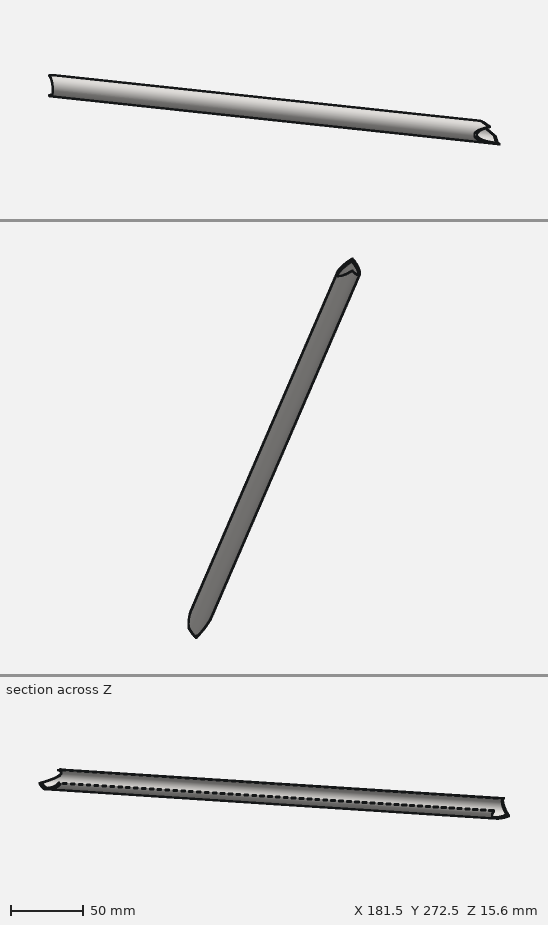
import cadquery as cq
import math

TUBE_DIAMETER = 15.0
WALL = 1.0
OUTER_RADIUS = TUBE_DIAMETER / 2
BORE_RADIUS = OUTER_RADIUS - WALL

HEADING_DEG = 56.66
RISE_DEG = 0.106
AXIS_TAIL = 30.0
AXIS_REACH = 360.0

END_Y = 272.49
BEVEL_DEPTH = 1.2
BEVEL_LAND = 0.1

SADDLE_RADIUS = 8.0
SADDLE_X = 185.14
SADDLE_Z = 0.48

OBLIQUE_POINT = cq.Vector(173.0, 269.25, 0.0)
OBLIQUE_NORMAL = cq.Vector(-0.286, 1.0, 0.793)

CUTTER_SIZE = 100.0

heading = math.radians(HEADING_DEG)
rise = math.radians(RISE_DEG)
axis = cq.Vector(
    math.cos(heading) * math.cos(rise),
    math.sin(heading) * math.cos(rise),
    math.sin(rise),
)
sideways = cq.Vector(math.sin(heading), -math.cos(heading), 0)


def round_bar(radius):
    """Solid bar on the tube axis, its surface split into an upper and a lower half."""
    section = cq.Plane(origin=axis * -AXIS_TAIL, xDir=sideways, normal=axis)
    outline = (
        cq.Workplane(section)
        .moveTo(radius, 0)
        .threePointArc((0, radius), (-radius, 0))
        .threePointArc((0, -radius), (radius, 0))
        .close()
    )
    return outline.extrude(AXIS_TAIL + AXIS_REACH, clean=False)


def mitre_block():
    """Space between the mitre planes: X and Y positive, Y up to END_Y."""
    return cq.Workplane().box(AXIS_REACH, END_Y, CUTTER_SIZE, centered=(False, False, True))


def saddle_cutter():
    """Round bar parallel to Y that hollows the far end."""
    start = cq.Vector(SADDLE_X, 0, SADDLE_Z)
    return cq.Workplane(obj=cq.Solid.makeCylinder(SADDLE_RADIUS, AXIS_REACH, start, cq.Vector(0, 1, 0)))


def oblique_cutter():
    """Block that removes everything beyond the oblique plane."""
    plane = cq.Plane(origin=OBLIQUE_POINT, normal=OBLIQUE_NORMAL)
    return cq.Workplane(plane).rect(CUTTER_SIZE, CUTTER_SIZE).extrude(CUTTER_SIZE)


def section_wire(direction, position, radius):
    """Ellipse in which a bar of this radius on the tube axis meets the plane direction = position."""
    along_axis = axis.dot(direction)
    centre = axis * (position / along_axis)
    return cq.Wire.makeEllipse(
        radius / along_axis,
        radius,
        centre,
        direction,
        direction.cross(cq.Vector(0, 0, 1)),
    )


def bevel_cutter(direction, position, inward):
    """Tapered plug that bevels the bore edge at the mitre plane direction = position."""
    rim = section_wire(direction, position, OUTER_RADIUS - BEVEL_LAND)
    throat = section_wire(direction, position + inward * BEVEL_DEPTH, BORE_RADIUS)
    return cq.Workplane(obj=cq.Solid.makeLoft([rim, throat], True))


along_x = cq.Vector(1, 0, 0)
along_y = cq.Vector(0, 1, 0)

tube = round_bar(OUTER_RADIUS).cut(round_bar(BORE_RADIUS), clean=False)
tube = tube.intersect(mitre_block(), clean=False)
tube = tube.cut(saddle_cutter(), clean=False)
tube = tube.cut(oblique_cutter(), clean=False)
for direction, position, inward in ((along_x, 0, 1), (along_y, 0, 1), (along_y, END_Y, -1)):
    tube = tube.cut(bevel_cutter(direction, position, inward), clean=False)

result = cq.Workplane(obj=max(tube.solids().vals(), key=lambda solid: solid.Volume()))